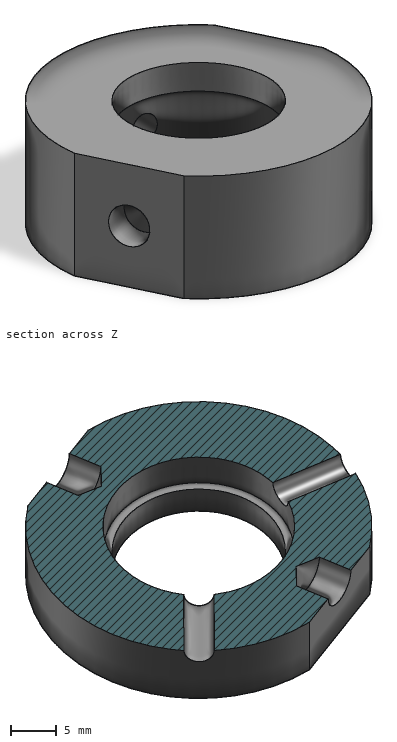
import cadquery as cq
import math

outer_diameter = 38.1
across_flats = 35.7
height = 15.0

bore_diameter = outer_diameter / 2
groove_diameter = 21.0
lip_height = 3.5
groove_height = height - 2 * lip_height

pivot_diameter = 5.0
pivot_depth = 4.0
drill_point_angle = 118.0
pivot_directions = (90.0, 270.0)

screw_hole_diameter = 3.3
screw_directions = (30.0, 150.0)

mid_height = height / 2


def make_body():
    """Round collar with two parallel flats facing -Y and +Y."""
    disc = cq.Workplane("XY").circle(outer_diameter / 2).extrude(height)
    slab = cq.Workplane("XY").rect(outer_diameter, across_flats).extrude(height)
    return disc.intersect(slab)


def make_bore():
    """Through bore joined with the internal groove."""
    bore = cq.Workplane("XY").circle(bore_diameter / 2).extrude(height)
    groove = (
        cq.Workplane("XY")
        .workplane(offset=lip_height)
        .circle(groove_diameter / 2)
        .extrude(groove_height)
    )
    return bore.union(groove)


def make_pivot_hole(direction):
    """Drilled blind hole with a conical end, entering a flat at mid height."""
    radius = pivot_diameter / 2
    point_length = radius / math.tan(math.radians(drill_point_angle / 2))
    entry = across_flats / 2
    shoulder = entry - pivot_depth
    profile = [
        (entry, 0),
        (entry, radius),
        (shoulder, radius),
        (shoulder - point_length, 0),
    ]
    drill = cq.Workplane("XY").polyline(profile).close().revolve(360, (0, 0, 0), (1, 0, 0))
    return drill.rotate((0, 0, 0), (0, 0, 1), direction).translate((0, 0, mid_height))


def make_screw_hole(direction):
    """Radial hole running from the axis out through the wall at mid height."""
    drill = cq.Workplane("YZ").circle(screw_hole_diameter / 2).extrude(outer_diameter / 2)
    return drill.rotate((0, 0, 0), (0, 0, 1), direction).translate((0, 0, mid_height))


result = make_body().cut(make_bore())
for pivot_direction in pivot_directions:
    result = result.cut(make_pivot_hole(pivot_direction))
for screw_direction in screw_directions:
    result = result.cut(make_screw_hole(screw_direction))